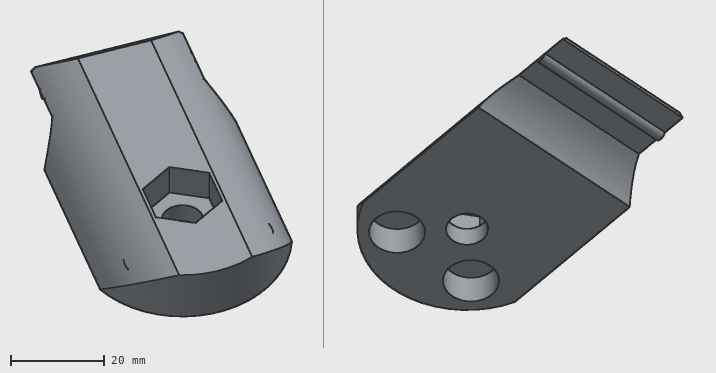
import cadquery as cq
import math

height = 13.0
crown_radius = 23.5
crown_axis_z = -9.0
tail_reach = 50.07

tail_floor_z = 7.0
tail_tip_z = 8.0
tail_floor_length = 14.07
relief_length = 22.07
relief_radius = 17.0

rib_radius = 1.5
rib_offset = 7.1
rib_drop = 1.0

bolt_hole_diameter = 9.0
hex_across_flats = 15.0
hex_depth = 8.0

pocket_diameter = 12.0
pocket_circle_radius = 15.0
pocket_angles = (45.0, -45.0)
pocket_depth = 7.5

tail_x = -tail_reach


def half_width_at(z):
    """Half width of the crowned section at height z."""
    return math.sqrt(crown_radius**2 - (z - crown_axis_z) ** 2)


def crowned_bar():
    """Flat-topped circular section, extruded along X."""
    base_half = half_width_at(0)
    top_half = half_width_at(height)
    mid_half = half_width_at(height / 2)
    return (
        cq.Workplane("YZ", origin=(tail_x, 0, 0))
        .moveTo(-base_half, 0)
        .lineTo(base_half, 0)
        .threePointArc((mid_half, height / 2), (top_half, height))
        .lineTo(-top_half, height)
        .threePointArc((-mid_half, height / 2), (-base_half, 0))
        .close()
        .extrude(tail_reach + crown_radius)
    )


def rounded_end_plan():
    """Full-height plan outline: straight sides closed by a round end on the bolt axis."""
    return (
        cq.Workplane("XY")
        .moveTo(tail_x, -crown_radius)
        .lineTo(0, -crown_radius)
        .threePointArc((crown_radius, 0), (0, crown_radius))
        .lineTo(tail_x, crown_radius)
        .close()
        .extrude(height)
    )


def side_profile():
    """Side outline with the bevelled tail and the curved relief below it."""
    bevel = height - tail_tip_z
    start = (tail_x + tail_floor_length, tail_floor_z)
    end = (tail_x + relief_length, 0)
    chord = math.dist(start, end)
    sagitta = relief_radius - math.sqrt(relief_radius**2 - (chord / 2) ** 2)
    middle = (
        (start[0] + end[0]) / 2 + sagitta * (start[1] - end[1]) / chord,
        (start[1] + end[1]) / 2 + sagitta * (end[0] - start[0]) / chord,
    )
    return (
        cq.Workplane("XZ")
        .moveTo(tail_x, tail_floor_z)
        .lineTo(*start)
        .threePointArc(middle, end)
        .lineTo(crown_radius, 0)
        .lineTo(crown_radius, height)
        .lineTo(tail_x + bevel, height)
        .lineTo(tail_x, tail_tip_z)
        .close()
        .extrude(crown_radius, both=True)
    )


def tail_rib():
    """Rounded rib below the tail floor, as long in Y as the floor is wide."""
    axis_x = tail_x + rib_offset
    half_chord = math.sqrt(rib_radius**2 - (rib_radius - rib_drop) ** 2)
    return (
        cq.Workplane("XZ")
        .moveTo(axis_x - half_chord, tail_floor_z)
        .threePointArc((axis_x, tail_floor_z - rib_drop), (axis_x + half_chord, tail_floor_z))
        .close()
        .extrude(half_width_at(tail_floor_z), both=True)
    )


def bolt_recess():
    """Through hole with a hexagonal pocket sunk from the flat top."""
    hole = cq.Workplane("XY").circle(bolt_hole_diameter / 2).extrude(height)
    hexagon = (
        cq.Workplane("XY", origin=(0, 0, height))
        .polygon(6, hex_across_flats / math.cos(math.pi / 6))
        .extrude(-hex_depth)
    )
    return hole.union(hexagon)


def underside_pocket(angle):
    """Blind round pocket at the given angle around the bolt axis."""
    x = pocket_circle_radius * math.cos(math.radians(angle))
    y = pocket_circle_radius * math.sin(math.radians(angle))
    return cq.Workplane("XY").center(x, y).circle(pocket_diameter / 2).extrude(pocket_depth)


body = crowned_bar().intersect(rounded_end_plan()).intersect(side_profile())
body = body.union(tail_rib()).cut(bolt_recess())
for pocket_angle in pocket_angles:
    body = body.cut(underside_pocket(pocket_angle))

result = body